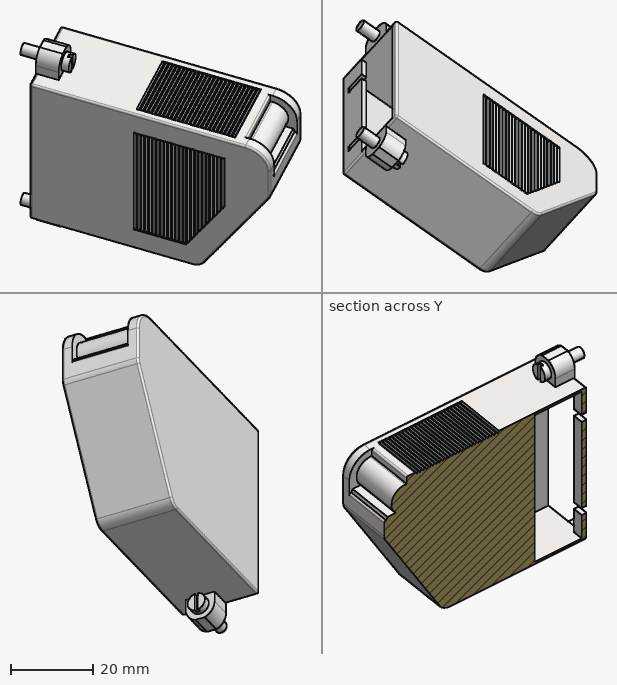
import cadquery as cq
import math

LENGTH = 62.75
WIDTH = 21.0
HEIGHT = 47.65
TOP_RADIUS = 6.5
SLOPE_ANGLE = 60.0
BOTTOM_CORNER_X = 44.5
BOTTOM_RADIUS = 3.5
NOSE_RADIUS = 3.0
EDGE_ROUND = 0.55

SIDE_WALL = 1.55
END_WALL = 0.9
CAVITY_DEPTH = 15.9
LIP_EDGE_Y = 3.0
LIP_THICKNESS = 1.5
LIP_SLOT_HEIGHT = 2.0
LIP_SLOT_Z = 14.6
LIP_SLOT_END_Y = 8.1
LIP_SKIN = 0.5

LUG_Y = -2.6
LUG_RADIUS = 4.0
LUG_LENGTH = 6.0
LUG_TOP_Z = 30.45
SCREW_Z = 26.7
PIN_DIAMETER = 3.1
PIN_LENGTH = 4.95
HEAD_DIAMETER = 4.8
HEAD_HEIGHT = 1.95
DRIVER_SLOT_WIDTH = 0.9
DRIVER_SLOT_DEPTH = 0.95

GROOVE_WIDTH = 0.75
GROOVE_DEPTH = 0.7
GRIP_START_X = 27.2
SIDE_GRIP_LENGTH = 23.75
SIDE_GRIP_HEIGHT = 34.4
SIDE_GROOVES = 24
SIDE_GRIP_CORNER_X = 40.9
TOP_GRIP_LENGTH = 25.8
TOP_GRIP_WIDTH = 17.1
TOP_GROOVES = 26

NOTCH_WIDTH = 15.3
NOTCH_WALL_X = 55.8
NOTCH_FLOOR_Z = 14.2
RIM_WIDTH = 0.6
RIM_DROP = 0.9
RIM_SLOPE_RUN = 0.4
DRUM_RADIUS = 4.25

TOP_Z = HEIGHT / 2
SIDE_Y = WIDTH / 2
SLOPE = math.tan(math.radians(SLOPE_ANGLE))


def block(x0, x1, y0, y1, z0, z1):
    """Box given by its limits along each axis."""
    return cq.Workplane("XY").box(x1 - x0, y1 - y0, z1 - z0, centered=False).translate((x0, y0, z0))


def rod(diameter, x0, x1, y, z):
    """Cylinder along X."""
    return cq.Workplane("YZ", origin=(x0, y, z)).circle(diameter / 2).extrude(x1 - x0)


def prism_along_y(outline, width):
    """XZ outline extruded symmetrically about Y = 0."""
    return cq.Workplane("XZ").polyline(outline).close().extrude(width / 2, both=True)


def make_body():
    nose_z = -TOP_Z + (LENGTH - BOTTOM_CORNER_X) * SLOPE
    outline = [(0, -TOP_Z), (BOTTOM_CORNER_X, -TOP_Z), (LENGTH, nose_z), (LENGTH, TOP_Z), (0, TOP_Z)]
    body = prism_along_y(outline, WIDTH)
    corners = (
        (BOTTOM_CORNER_X, -TOP_Z, BOTTOM_RADIUS),
        (LENGTH, nose_z, NOSE_RADIUS),
        (LENGTH, TOP_Z, TOP_RADIUS),
    )
    for x, z, radius in corners:
        body = body.edges(cq.selectors.NearestToPointSelector((x, 0, z))).fillet(radius)
    return body.faces("<X or <Y or >Y").edges().fillet(EDGE_ROUND)


def make_cavity():
    """Hollow behind the mating face, less the slotted lip that partly closes it."""
    inner_y = SIDE_Y - SIDE_WALL
    inner_z = TOP_Z - END_WALL
    cavity = block(0, CAVITY_DEPTH, -inner_y, inner_y, -inner_z, inner_z)
    lip = block(0, LIP_THICKNESS, LIP_EDGE_Y, inner_y, -inner_z, inner_z)
    for z in (-LIP_SLOT_Z, LIP_SLOT_Z):
        bottom = z - LIP_SLOT_HEIGHT / 2
        top = bottom + LIP_SLOT_HEIGHT
        lip = lip.cut(block(0, LIP_SKIN, LIP_EDGE_Y, LIP_SLOT_END_Y, bottom, top))
        lip = lip.cut(block(LIP_SKIN, LIP_THICKNESS, LIP_EDGE_Y, inner_y, bottom, top))
    return cavity.cut(lip)


def cut_notch(body):
    drum_x = LENGTH - TOP_RADIUS
    drum_z = TOP_Z - TOP_RADIUS
    half = NOTCH_WIDTH / 2
    drum = cq.Workplane("XZ", origin=(drum_x, 0, drum_z)).circle(DRUM_RADIUS).extrude(half, both=True)
    drum_back = block(NOTCH_WALL_X, drum_x, -half, half, NOTCH_FLOOR_Z, drum_z + DRUM_RADIUS)
    rim_x = LENGTH - RIM_WIDTH
    rim_z = NOTCH_FLOOR_Z - RIM_DROP
    notch_outline = [
        (NOTCH_WALL_X, TOP_Z),
        (NOTCH_WALL_X, NOTCH_FLOOR_Z),
        (rim_x - RIM_SLOPE_RUN, NOTCH_FLOOR_Z),
        (rim_x, rim_z),
        (LENGTH, rim_z),
        (LENGTH, TOP_Z),
    ]
    notch = prism_along_y(notch_outline, NOTCH_WIDTH)
    body = body.cut(notch.cut(drum).cut(drum_back))
    for x, z in ((NOTCH_WALL_X, TOP_Z), (LENGTH, rim_z)):
        body = body.edges(cq.selectors.NearestToPointSelector((x, 0, z))).fillet(EDGE_ROUND)
    return body


def v_grooves(start, span, count, length):
    """V grooves along local Y, cut down from local Z = 0 and spread along local X."""
    pitch = (span - GROOVE_WIDTH) / (count - 1)
    grooves = cq.Workplane("XZ")
    for i in range(count):
        x = start + i * pitch
        groove = [(x, 0), (x + GROOVE_WIDTH / 2, -GROOVE_DEPTH), (x + GROOVE_WIDTH, 0)]
        grooves = grooves.polyline(groove).close()
    return grooves.extrude(length / 2, both=True)


def make_top_grip():
    return v_grooves(GRIP_START_X, TOP_GRIP_LENGTH, TOP_GROOVES, TOP_GRIP_WIDTH).translate((0, 0, TOP_Z))


def make_side_grip():
    """Grooves on the -Y face, their lower ends slanted parallel to the sloped underside."""
    half = SIDE_GRIP_HEIGHT / 2
    end_x = GRIP_START_X + SIDE_GRIP_LENGTH
    slant_top_z = -half + (end_x - SIDE_GRIP_CORNER_X) * SLOPE
    panel_outline = [
        (GRIP_START_X, half),
        (GRIP_START_X, -half),
        (SIDE_GRIP_CORNER_X, -half),
        (end_x, slant_top_z),
        (end_x, half),
    ]
    panel = prism_along_y(panel_outline, WIDTH)
    grooves = v_grooves(GRIP_START_X, SIDE_GRIP_LENGTH, SIDE_GROOVES, SIDE_GRIP_HEIGHT)
    grooves = grooves.rotate((0, 0, 0), (1, 0, 0), 90).translate((0, -SIDE_Y, 0))
    return grooves.intersect(panel)


def make_lug():
    """Upper lug with its slotted screw."""
    root_z = TOP_Z - END_WALL
    head_end = LUG_LENGTH + HEAD_HEIGHT
    lug = rod(2 * LUG_RADIUS, 0, LUG_LENGTH, LUG_Y, SCREW_Z)
    limits = block(0, LUG_LENGTH, LUG_Y - LUG_RADIUS, LUG_Y + LUG_RADIUS, root_z, LUG_TOP_Z)
    shank = block(0, LUG_LENGTH, LUG_Y - LUG_RADIUS, LUG_Y + LUG_RADIUS, root_z, SCREW_Z)
    pin = rod(PIN_DIAMETER, -PIN_LENGTH, 0, LUG_Y, SCREW_Z)
    head = rod(HEAD_DIAMETER, LUG_LENGTH, head_end, LUG_Y, SCREW_Z)
    half_slot = DRIVER_SLOT_WIDTH / 2
    slot_x = head_end - DRIVER_SLOT_DEPTH
    driver_slot = block(slot_x, head_end, LUG_Y - half_slot, LUG_Y + half_slot, root_z, LUG_TOP_Z)
    return lug.union(shank).intersect(limits).union(pin).union(head.cut(driver_slot))


body = cut_notch(make_body()).cut(make_cavity()).cut(make_top_grip()).cut(make_side_grip())
upper_lug = make_lug()
result = body.union(upper_lug).union(upper_lug.mirror("XY"))